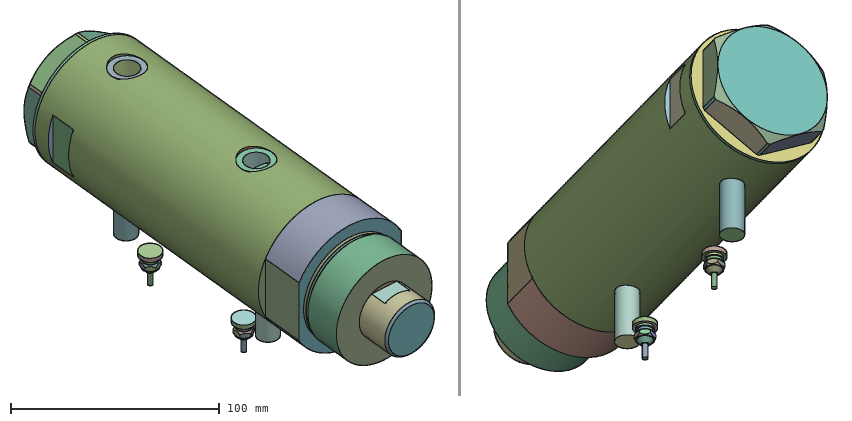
import cadquery as cq
import math


flange_start = 14.6
barrel_start = 16.2
front_port_x = 41.5
rear_port_x = 137.4
barrel_end = 182.0
flats_end = 207.0
groove_start = 208.8
groove_end = 210.0
nose_start = 211.0
nose_end = 232.3
rod_flats_end = 242.1
rod_end = 252.5

overall_height = 121.5
barrel_diameter = 73.0
barrel_radius = barrel_diameter / 2
bore_radius = 21.5
gland_seat_radius = 31.0
slot_start = 26.0
slot_end = 41.2
slot_half_width = 33.5
port_radius = 6.5
spotface_radius = 9.8
spotface_depth = 1.5
stub_radius = 6.0
stub_bottom = -65.0
front_stub_x = 40.7
rear_stub_x = 146.0

hex_across_flats = 59.8
hex_corner_radius = 34.0
hex_face_radius = 29.8
hex_chamfer_length = 3.8

gland_half_flats = 32.0
neck_radius = 29.3
groove_radius = 29.0
nose_radius = 30.0

rod_radius = 15.7
rod_across_flats = 27.0
rod_chamfer = 1.3

plug_offset = 18.0
plug_top = stub_bottom
plug_bottom = barrel_radius - overall_height
plug_head_radius = stub_radius
plug_shoulder_radius = 4.5
plug_neck_radius = 3.8
plug_cable_radius = 1.4
tail_upper_radius = 4.5
tail_lower_radius = 2.0
plug_head_depth = 2.5
plug_shoulder_depth = 3.8
plug_nut_top = 5.5
plug_nut_bottom = 9.5
plug_tail_bottom = 12.0
nut_corner_radius = 5.3
nut_chamfer = 1.3
front_plug_turn = -9.0
rear_plug_turn = 0.0


def disc(start, end, radius):
    """Cylinder on the X axis from start to end."""
    return cq.Workplane("YZ").workplane(offset=start).circle(radius).extrude(end - start)


def post(x, bottom, top, radius):
    """Vertical cylinder on the plane Y = 0."""
    return cq.Workplane("XY").workplane(offset=bottom).center(x, 0).circle(radius).extrude(top - bottom)


def slab(start, end, half_y, half_z):
    """Box centred on the X axis from start to end."""
    return cq.Workplane("XY").box(end - start, 2 * half_y, 2 * half_z).translate(((start + end) / 2, 0, 0))


def make_cap():
    """Hexagonal head, flange and a spigot that ends at the front port."""
    hex_diameter = hex_across_flats / math.cos(math.pi / 6)
    head = cq.Workplane("YZ").polygon(6, hex_diameter).extrude(flange_start)
    head = head.rotate((0, 0, 0), (1, 0, 0), 90)
    envelope = (
        cq.Workplane("XY")
        .polyline([
            (0, 0),
            (0, hex_face_radius),
            (hex_chamfer_length, hex_corner_radius),
            (flange_start, hex_corner_radius),
            (flange_start, 0),
        ])
        .close()
        .revolve(360, (0, 0, 0), (1, 0, 0))
    )
    flange = disc(flange_start, barrel_start, barrel_radius)
    spigot = disc(barrel_start, front_port_x, bore_radius)
    return head.intersect(envelope).union(flange).union(spigot)


def make_barrel():
    """Tube with two stubs, two wrench slots, two ports, a bore and a wider seat for the gland."""
    barrel = disc(barrel_start, barrel_end, barrel_radius)
    for x in (front_stub_x, rear_stub_x):
        barrel = barrel.union(post(x, stub_bottom, 0, stub_radius))
    slot_band = slab(slot_start, slot_end, barrel_radius, slot_half_width)
    slot_core = slab(slot_start, slot_end, slot_half_width, slot_half_width)
    barrel = barrel.cut(slot_band.cut(slot_core))
    for x in (front_port_x, rear_port_x):
        barrel = barrel.cut(post(x, 0, barrel_radius, port_radius))
        barrel = barrel.cut(post(x, barrel_radius - spotface_depth, barrel_radius, spotface_radius))
    barrel = barrel.cut(disc(barrel_start, rear_port_x, bore_radius))
    return barrel.cut(disc(rear_port_x, barrel_end, gland_seat_radius))


def make_gland():
    """Spigot, collar with two wrench flats, neck and nose around the rod."""
    spigot = disc(rear_port_x, barrel_end, gland_seat_radius)
    collar = disc(barrel_end, flats_end, barrel_radius)
    collar = collar.intersect(slab(barrel_end, flats_end, gland_half_flats, barrel_radius))
    nose = (
        cq.Workplane("XY")
        .polyline([
            (flats_end, 0),
            (flats_end, neck_radius),
            (groove_start, neck_radius),
            (groove_start, groove_radius),
            (groove_end, groove_radius),
            (nose_start, nose_radius),
            (nose_end, nose_radius),
            (nose_end, 0),
        ])
        .close()
        .revolve(360, (0, 0, 0), (1, 0, 0))
    )
    gland = spigot.union(collar).union(nose)
    return gland.cut(disc(rear_port_x, nose_end, rod_radius))


def make_rod():
    """Plain rod with a chamfered tip and two flats just outside the gland."""
    rod = disc(front_port_x, rod_end, rod_radius).faces(">X").chamfer(rod_chamfer)
    band = slab(nose_end, rod_flats_end, rod_radius, rod_radius)
    core = slab(nose_end, rod_flats_end, rod_radius, rod_across_flats / 2)
    return rod.cut(band.cut(core))


def make_plug(x, turn):
    """Round connector plug with a hexagonal nut turned about its own axis."""
    cable_depth = plug_top - plug_bottom
    outline = [
        (0, 0),
        (plug_head_radius, 0),
        (plug_head_radius, plug_head_depth),
        (plug_shoulder_radius, plug_head_depth),
        (plug_shoulder_radius, plug_shoulder_depth),
        (plug_neck_radius, plug_shoulder_depth),
        (plug_neck_radius, plug_nut_bottom),
        (tail_upper_radius, plug_nut_bottom),
        (tail_lower_radius, plug_tail_bottom),
        (plug_cable_radius, plug_tail_bottom),
        (plug_cable_radius, cable_depth),
        (0, cable_depth),
    ]
    body = (
        cq.Workplane("XZ")
        .polyline([(radius, plug_top - depth) for radius, depth in outline])
        .close()
        .revolve(360, (0, 0, 0), (0, 1, 0))
    )
    nut = (
        cq.Workplane("XY")
        .workplane(offset=plug_top - plug_nut_bottom)
        .polygon(6, 2 * nut_corner_radius)
        .extrude(plug_nut_bottom - plug_nut_top)
    )
    envelope = post(0, plug_top - plug_nut_bottom, plug_top - plug_nut_top, nut_corner_radius)
    plug = body.union(nut.intersect(envelope.edges().chamfer(nut_chamfer)))
    return plug.rotate((0, 0, 0), (0, 0, 1), turn).translate((x, 0, 0))


cap = make_cap()
barrel = make_barrel()
gland = make_gland()
rod = make_rod()
plug_places = [
    (front_stub_x + plug_offset, front_plug_turn),
    (rear_stub_x - plug_offset, rear_plug_turn),
]
plugs = [make_plug(x, turn) for x, turn in plug_places]

result = cq.Compound.makeCompound(
    [cap.val(), barrel.val(), gland.val(), rod.val()] + [plug.val() for plug in plugs]
)